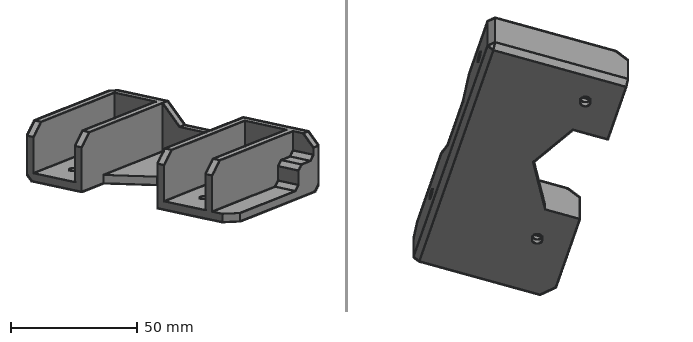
import cadquery as cq
import math

length = 101.0
depth = 57.5
height = 23.5

channel_width = 27.0
ledge_width = 10.0
bridge_width = length - 2 * channel_width - ledge_width
second_channel_x = channel_width + bridge_width
ledge_x = length - ledge_width
channel_starts = (0, second_channel_x)

side_wall = 3.3
floor_thickness = 3.5
back_wall = 3.5
back_wall_face = depth - back_wall

large_chamfer = 5.0
outer_chamfer = 2.4
bridge_front = 14.4
bridge_notch_angle = 30
back_notch_depth = 8.4

hole_diameter = 4.2
floor_hole_y = 13.5
back_hole_z = 13.4

block_size = 10.0
block_bevel = 2.0


def side_walls(x):
    """Both walls of a channel, with their top front corners bevelled."""
    outline = (
        cq.Workplane("YZ")
        .moveTo(0, 0)
        .lineTo(depth, 0)
        .lineTo(depth, height)
        .lineTo(large_chamfer, height)
        .lineTo(0, height - large_chamfer)
        .close()
    )
    wall = outline.extrude(side_wall)
    left_wall = wall.translate((x, 0, 0))
    right_wall = wall.translate((x + channel_width - side_wall, 0, 0))
    return left_wall.union(right_wall)


def base_plate():
    """Floor with a pointed recess in the bridge and a bevelled right front corner."""
    peak_y = bridge_front + bridge_width / 2 * math.tan(math.radians(bridge_notch_angle))
    return (
        cq.Workplane("XY")
        .moveTo(0, 0)
        .lineTo(channel_width, 0)
        .lineTo(channel_width, bridge_front)
        .lineTo(channel_width + bridge_width / 2, peak_y)
        .lineTo(second_channel_x, bridge_front)
        .lineTo(second_channel_x, 0)
        .lineTo(length - large_chamfer, 0)
        .lineTo(length, large_chamfer)
        .lineTo(length, depth)
        .lineTo(0, depth)
        .close()
        .extrude(floor_thickness)
    )


def back_plate():
    """Back wall with a 45 degree notch over the bridge and a bevelled right top corner."""
    notch_z = height - back_notch_depth
    return (
        cq.Workplane("XZ", origin=(0, depth, 0))
        .moveTo(0, 0)
        .lineTo(length, 0)
        .lineTo(length, height - large_chamfer)
        .lineTo(length - large_chamfer, height)
        .lineTo(second_channel_x, height)
        .lineTo(second_channel_x - back_notch_depth, notch_z)
        .lineTo(channel_width + back_notch_depth, notch_z)
        .lineTo(channel_width, height)
        .lineTo(0, height)
        .close()
        .extrude(back_wall)
    )


def stop_block():
    """Block with a bevelled outer edge and sloped roots at the floor and back wall."""
    front_y = back_wall_face - block_size
    top_z = floor_thickness + block_size
    return (
        cq.Workplane("YZ", origin=(ledge_x, 0, 0))
        .moveTo(back_wall_face, floor_thickness)
        .lineTo(front_y - block_bevel, floor_thickness)
        .lineTo(front_y, floor_thickness + block_bevel)
        .lineTo(front_y, top_z - block_bevel)
        .lineTo(front_y + block_bevel, top_z)
        .lineTo(back_wall_face - block_bevel, top_z)
        .lineTo(back_wall_face, top_z + block_bevel)
        .close()
        .extrude(ledge_width)
    )


def screw_holes(x):
    """Cutters for the floor hole and the back wall hole of one channel."""
    centre_x = x + channel_width / 2
    radius = hole_diameter / 2
    floor_hole = cq.Workplane("XY").center(centre_x, floor_hole_y).circle(radius).extrude(floor_thickness)
    back_hole = (
        cq.Workplane("XZ", origin=(0, depth, 0))
        .center(centre_x, back_hole_z)
        .circle(radius)
        .extrude(back_wall)
    )
    return floor_hole.union(back_hole)


body = base_plate().union(back_plate()).union(stop_block())
for start in channel_starts:
    body = body.union(side_walls(start))

body = body.clean().edges("(<X and <Z) or (<X and >Y) or (>Y and <Z)").chamfer(outer_chamfer)

for start in channel_starts:
    body = body.cut(screw_holes(start))

result = body